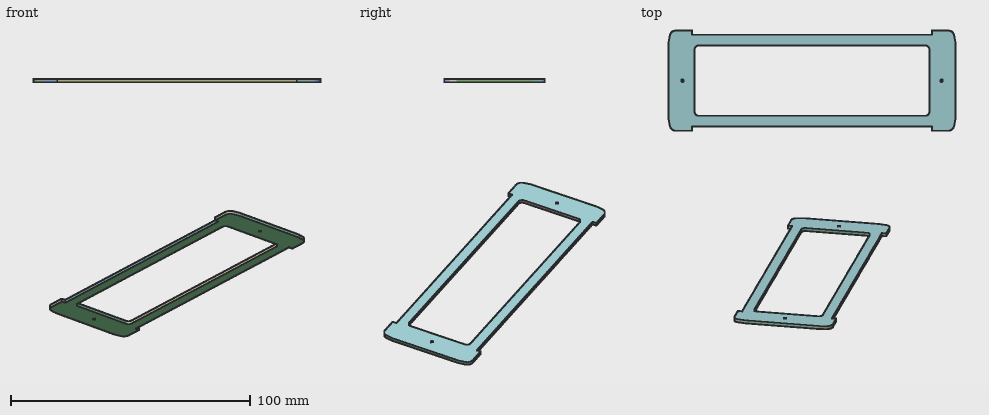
import cadquery as cq

length = 120.0
width = 42.0
thickness = 1.5

tab_length = 10.0
rail_setback = 1.8
taper_length = 5.0
taper_inset = 1.0
corner_radius = 2.6

window_length = 98.0
window_width = 29.3
window_radius = 1.7

hole_diameter = 1.0
hole_edge_distance = 5.9


def tapered_plate():
    """Plate with slightly tapered, rounded corners."""
    half_length = length / 2
    half_width = width / 2
    end_x = half_length - taper_inset
    taper_y = half_width - taper_length
    outline = [
        (-end_x, -half_width),
        (end_x, -half_width),
        (half_length, -taper_y),
        (half_length, taper_y),
        (end_x, half_width),
        (-end_x, half_width),
        (-half_length, taper_y),
        (-half_length, -taper_y),
    ]
    plate = cq.Workplane("XY").polyline(outline).close().extrude(thickness)
    long_sides = plate.faces("<Y or >Y")
    return long_sides.edges("|Z").fillet(corner_radius)


def rail_recesses():
    """Shallow cuts along both long sides, between the tabs."""
    recess_length = length - 2 * tab_length
    return (
        cq.Workplane("XY")
        .pushPoints([(0, -width / 2), (0, width / 2)])
        .rect(recess_length, 2 * rail_setback)
        .extrude(thickness)
    )


def window():
    """Rectangular through opening with rounded corners."""
    opening = cq.Workplane("XY").rect(window_length, window_width).extrude(thickness)
    return opening.edges("|Z").fillet(window_radius)


def pin_holes():
    """Through holes on the X centreline."""
    hole_x = length / 2 - hole_edge_distance
    return (
        cq.Workplane("XY")
        .pushPoints([(-hole_x, 0), (hole_x, 0)])
        .circle(hole_diameter / 2)
        .extrude(thickness)
    )


result = tapered_plate().cut(rail_recesses()).cut(window()).cut(pin_holes())